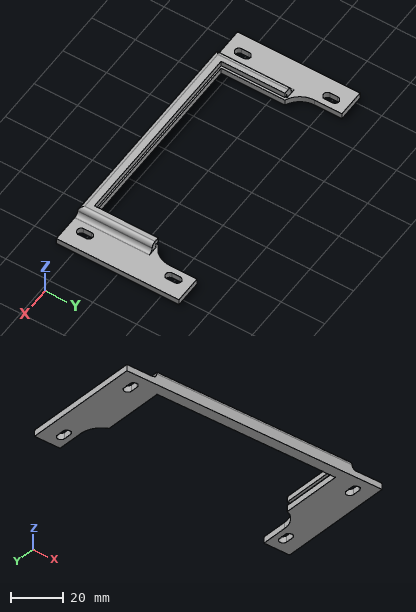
import cadquery as cq

length = 125.8
depth = 56.4
height = 7.0
plate_thickness = 3.0
plate_width = 12.7
edge_radius = (height - plate_thickness) / 2
arm_inset = 19.0
arm_length = 34.3
rail_width = 5.0
gusset_radius = 10.1
slot_length = 7.0
slot_width = 3.5
slot_inset = 8.2
slot_front = 7.8
slot_rear = 48.4
groove_depth = 1.5
groove_floor = 3.0
groove_height = 1.5

half_length = length / 2
plate_inner = half_length - plate_width
wall_x = plate_inner - edge_radius
arm_inner = half_length - arm_inset


def box(x_min, x_max, y_min, y_max, z_min, z_max):
    """Box given by its limits along each axis."""
    size = (x_max - x_min, y_max - y_min, z_max - z_min)
    return cq.Workplane("XY").box(*size, centered=False).translate((x_min, y_min, z_min))


def mounting_plate():
    """Right-hand plate with a concave gusset leading to the side arm."""
    plate = box(plate_inner, half_length, 0, depth, 0, plate_thickness)
    center_x = plate_inner - gusset_radius
    gusset_rise = (gusset_radius**2 - (arm_inner - center_x) ** 2) ** 0.5
    center_y = arm_length + gusset_rise
    gusset = box(arm_inner, plate_inner, 0, center_y, 0, plate_thickness)
    cutter = cq.Workplane("XY").center(center_x, center_y).circle(gusset_radius).extrude(plate_thickness)
    return plate.union(gusset.cut(cutter))


def raised_frame():
    """U-shaped frame whose outer top edges are rounded."""
    block = box(-wall_x, wall_x, 0, arm_length, 0, height)
    block = block.faces(">Z").edges("<Y or <X or >X").fillet(edge_radius)
    return block.cut(box(-arm_inner, arm_inner, rail_width, arm_length, 0, height))


def root_fillet():
    """Concave fillet between the right-hand plate and the frame wall."""
    top = plate_thickness + edge_radius
    strip = box(wall_x, plate_inner, 0, arm_length, plate_thickness, top)
    cutter = cq.Workplane("XZ").center(plate_inner, top).circle(edge_radius).extrude(-arm_length)
    return strip.cut(cutter)


def mounting_slots():
    """Four slots, two through each plate, running along Y."""
    x = half_length - slot_inset
    centers = [(side * x, y) for side in (-1, 1) for y in (slot_front, slot_rear)]
    return cq.Workplane("XY").pushPoints(centers).slot2D(slot_length, slot_width, 90).extrude(plate_thickness)


def panel_groove():
    """Groove around the inner faces of the frame, open at the rear."""
    x = arm_inner + groove_depth
    top = groove_floor + groove_height
    return box(-x, x, rail_width - groove_depth, arm_length, groove_floor, top)


right_side = mounting_plate().union(root_fillet())
result = raised_frame().union(right_side).union(right_side.mirror("YZ"))
result = result.cut(mounting_slots()).cut(panel_groove())